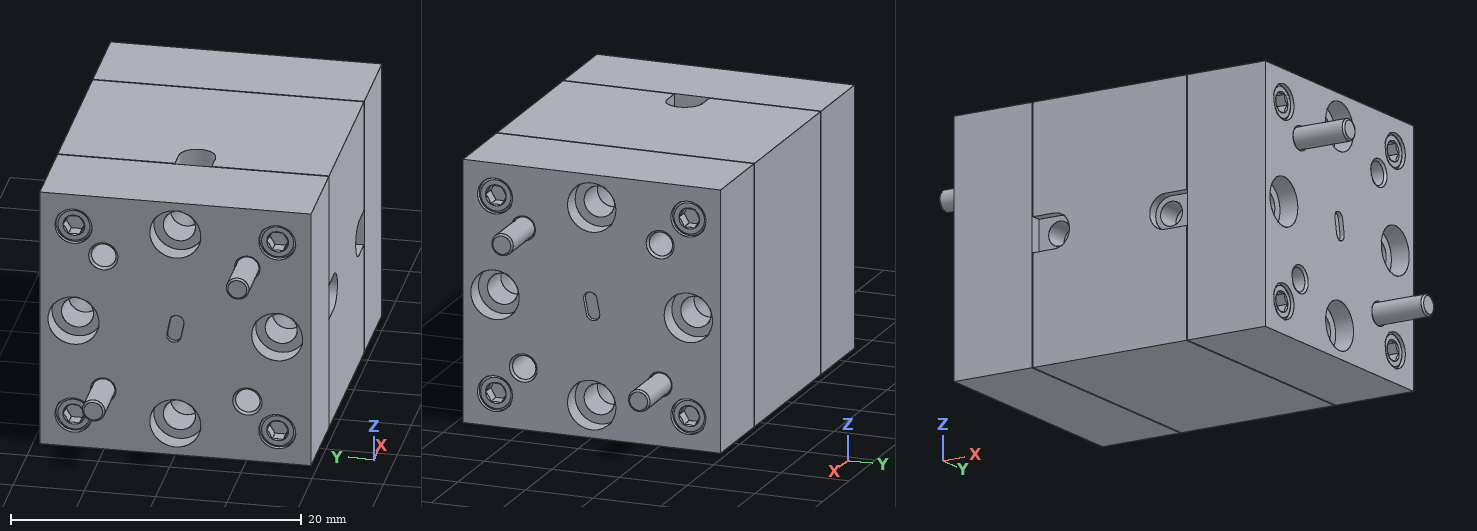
import cadquery as cq
import math

SIDE = 19.05
PIN_LENGTH = 33.08
STACK_LENGTH = 25.4
GAP = 0.1
MIDDLE_LENGTH = 12.5
LEFT_PROTRUSION = 3.6

PIN_RADIUS = 0.8
PIN_CHAMFER = 0.13
PIN_MOUTH_CHAMFER = 0.1
BOLT_CIRCLE_RADIUS = 7.15

FLANGE_BORE_RADIUS = 1.8
FLANGE_BORE_DEPTH = 1.45
FLANGE_PILOT_RADIUS = 1.12
FLANGE_PILOT_DEPTH = 3.97

DOWEL_RADIUS = 0.85
DOWEL_DEPTH = 3.97
DOWEL_CHAMFER = 0.15

SCREW_OFFSET = BOLT_CIRCLE_RADIUS
SCREW_RADIUS = 1.3
SCREW_RECESS = 0.15
SCREW_CHAMFER = 0.15
SOCKET_SIDES = 6
SOCKET_ACROSS_FLATS = 1.32
SOCKET_DEPTH = 1.0

WINDOW_LENGTH = 2.05
WINDOW_WIDTH = 1.0
WINDOW_DEPTH = 0.33
WINDOW_TILT = 11.0

NOTCH_RADIUS = 1.3
FRONT_NOTCH_OFFSET = 1.7
FRONT_NOTCH_DEPTH = 0.75
FRONT_HOLE_RADIUS = 0.9
TOP_NOTCH_OFFSET = 1.32
TOP_NOTCH_DEPTH = 1.55
TOP_HOLE_RADIUS = 0.83
NOTCH_HOLE_DEPTH = 2.0

DRILL_HALF_ANGLE = 59.0

STACK_START = -PIN_LENGTH / 2 + LEFT_PROTRUSION
STACK_CENTRE = STACK_START + STACK_LENGTH / 2
END_LENGTH = (STACK_LENGTH - MIDDLE_LENGTH) / 2 - GAP
MIDDLE_START = STACK_START + END_LENGTH + GAP
MIDDLE_END = MIDDLE_START + MIDDLE_LENGTH

DIAGONAL = BOLT_CIRCLE_RADIUS * math.sqrt(0.5)
PIN_POSITIONS = [(-DIAGONAL, DIAGONAL), (DIAGONAL, -DIAGONAL)]
DOWEL_POSITIONS = [(DIAGONAL, DIAGONAL), (-DIAGONAL, -DIAGONAL)]
FLANGE_POSITIONS = [
    (BOLT_CIRCLE_RADIUS, 0),
    (-BOLT_CIRCLE_RADIUS, 0),
    (0, BOLT_CIRCLE_RADIUS),
    (0, -BOLT_CIRCLE_RADIUS),
]
SCREW_POSITIONS = [(y * SCREW_OFFSET, z * SCREW_OFFSET) for y in (-1, 1) for z in (-1, 1)]

X_AXIS = cq.Vector(1, 0, 0)


def drilled_hole(radius, depth, start, direction):
    """Cylinder ending in a conical drill point, to be cut from a block."""
    point_length = radius / math.tan(math.radians(DRILL_HALF_ANGLE))
    bore = cq.Solid.makeCylinder(radius, depth, start, direction)
    point = cq.Solid.makeCone(radius, 0, point_length, start + direction * depth, direction)
    return bore.fuse(point)


def flange_hole(face):
    """Counterbored hole with a drilled pilot."""
    counterbore = cq.Solid.makeCylinder(FLANGE_BORE_RADIUS, FLANGE_BORE_DEPTH, face, X_AXIS)
    pilot = drilled_hole(FLANGE_PILOT_RADIUS, FLANGE_PILOT_DEPTH, face, X_AXIS)
    return counterbore.fuse(pilot)


def dowel_hole(face):
    """Drilled hole with a chamfered mouth."""
    mouth = cq.Solid.makeCone(DOWEL_RADIUS + DOWEL_CHAMFER, DOWEL_RADIUS, DOWEL_CHAMFER, face, X_AXIS)
    return drilled_hole(DOWEL_RADIUS, DOWEL_DEPTH, face, X_AXIS).fuse(mouth)


def screw_recess(face):
    """Space above and around a sunk screw head, with its hexagon socket."""
    socket_radius = SOCKET_ACROSS_FLATS / 2 / math.cos(math.pi / SOCKET_SIDES)
    socket_lead = socket_radius - SOCKET_ACROSS_FLATS / 2
    head_top = face + X_AXIS * SCREW_RECESS

    recess = cq.Solid.makeCylinder(SCREW_RADIUS, SCREW_RECESS + SCREW_CHAMFER, face, X_AXIS)
    head = cq.Solid.makeCone(SCREW_RADIUS - SCREW_CHAMFER, SCREW_RADIUS, SCREW_CHAMFER, head_top, X_AXIS)
    socket = (
        cq.Workplane(cq.Plane(head_top, xDir=(0, 1, 0), normal=(1, 0, 0)))
        .polygon(SOCKET_SIDES, 2 * socket_radius)
        .extrude(SOCKET_DEPTH)
        .val()
    )
    lead = cq.Solid.makeCone(socket_radius, SOCKET_ACROSS_FLATS / 2, socket_lead, head_top, X_AXIS)
    return recess.cut(head).fuse(socket, lead)


def waveguide_window(face):
    """Tilted rounded slot in the middle of the end face."""
    return (
        cq.Workplane(cq.Plane(face, xDir=(0, 1, 0), normal=(1, 0, 0)))
        .transformed(rotate=(0, 0, 90 + WINDOW_TILT))
        .slot2D(WINDOW_LENGTH, WINDOW_WIDTH)
        .extrude(WINDOW_DEPTH)
        .val()
    )


def block(start, length):
    """Plain square block from x = start to x = start + length."""
    return cq.Workplane("XY").box(length, SIDE, SIDE).translate((start + length / 2, 0, 0))


def cut_pin_holes(body):
    """Bore the through holes that the pins fill."""
    for y, z in PIN_POSITIONS:
        start = cq.Vector(-PIN_LENGTH / 2, y, z)
        body = body.cut(cq.Workplane(cq.Solid.makeCylinder(PIN_RADIUS, PIN_LENGTH, start, X_AXIS)))
    return body


def pin_mouth(face):
    """Chamfer around a pin hole."""
    return cq.Solid.makeCone(PIN_RADIUS + PIN_MOUTH_CHAMFER, PIN_RADIUS, PIN_MOUTH_CHAMFER, face, X_AXIS)


def notch(open_x, inward, offset, depth, hole_radius, surface, side):
    """Round-ended notch, open towards one end of the middle block, with a drilled hole in its floor.

    inward is +1 or -1 along X; surface is the point on the outer face in line with the
    notch at x = 0; side is the unit vector pointing into the block.
    """
    centre = surface + X_AXIS * (open_x + inward * offset)
    plane = cq.Plane(centre, xDir=(inward, 0, 0), normal=side.toTuple())
    pocket = (
        cq.Workplane(plane)
        .moveTo(-offset, -NOTCH_RADIUS)
        .lineTo(0, -NOTCH_RADIUS)
        .threePointArc((NOTCH_RADIUS, 0), (0, NOTCH_RADIUS))
        .lineTo(-offset, NOTCH_RADIUS)
        .close()
        .extrude(depth)
        .val()
    )
    hole = drilled_hole(hole_radius, NOTCH_HOLE_DEPTH, centre + side * depth, side)
    return cq.Workplane(pocket.fuse(hole))


def make_left_block():
    """End block with the flange pattern on its -X face."""
    pattern = (
        (flange_hole, FLANGE_POSITIONS),
        (dowel_hole, DOWEL_POSITIONS),
        (screw_recess, SCREW_POSITIONS),
        (pin_mouth, PIN_POSITIONS),
        (waveguide_window, [(0, 0)]),
    )
    body = block(STACK_START, END_LENGTH)
    for make_cutter, positions in pattern:
        for y, z in positions:
            body = body.cut(cq.Workplane(make_cutter(cq.Vector(STACK_START, y, z))))
    return cut_pin_holes(body)


def make_middle_block():
    """Middle block with two notches on the -Y face and one on the top."""
    front = cq.Vector(0, -SIDE / 2, 0)
    top = cq.Vector(0, 0, SIDE / 2)
    body = block(MIDDLE_START, MIDDLE_LENGTH)
    for end_x, inward in ((MIDDLE_START, 1), (MIDDLE_END, -1)):
        body = body.cut(notch(end_x, inward, FRONT_NOTCH_OFFSET, FRONT_NOTCH_DEPTH, FRONT_HOLE_RADIUS,
                              front, cq.Vector(0, 1, 0)))
    body = body.cut(notch(MIDDLE_START, 1, TOP_NOTCH_OFFSET, TOP_NOTCH_DEPTH, TOP_HOLE_RADIUS,
                          top, cq.Vector(0, 0, -1)))
    return cut_pin_holes(body)


def make_right_block(left):
    """The left block mirrored about the middle of the stack."""
    return left.mirror("YZ", basePointVector=(STACK_CENTRE, 0, 0))


def make_pin(y, z):
    """Pin through all three blocks, chamfered at both tips."""
    return (
        cq.Workplane("YZ", origin=(-PIN_LENGTH / 2, y, z))
        .circle(PIN_RADIUS)
        .extrude(PIN_LENGTH)
        .edges("%CIRCLE")
        .chamfer(PIN_CHAMFER)
    )


left_block = make_left_block()
middle_block = make_middle_block()
right_block = make_right_block(left_block)
pins = [make_pin(y, z) for y, z in PIN_POSITIONS]

result = cq.Compound.makeCompound(
    [left_block.val(), middle_block.val(), right_block.val(), *[pin.val() for pin in pins]]
)